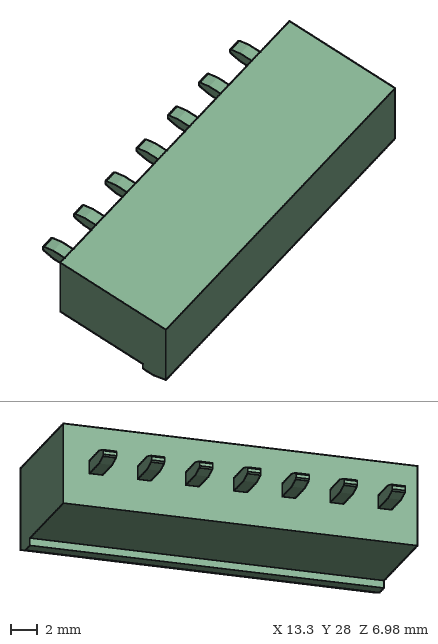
import cadquery as cq

housing_depth = 10.02
housing_width = 27.98
housing_height = 6.38

ledge_depth = 2.2
ledge_drop = 0.6
ledge_slope_run = 1.18
ledge_slope_rise = 0.42

pin_count = 7
pin_pitch = 3.8
pin_length = 3.25
pin_size = 1.04
pin_centre_z = 3.13
taper_length = 1.0
nose_length = 0.1
nose_base_height = 0.53
nose_tip_height = 0.28


def make_housing():
    """Solid block with the sloped ledge, extruded over the full width."""
    ledge_back = housing_depth - ledge_depth
    slope_start = housing_depth - ledge_slope_run
    slope_end_z = ledge_slope_rise - ledge_drop
    profile = [
        (0, 0),
        (ledge_back, 0),
        (ledge_back, -ledge_drop),
        (slope_start, -ledge_drop),
        (housing_depth, slope_end_z),
        (housing_depth, housing_height),
        (0, housing_height),
    ]
    return cq.Workplane("XZ").polyline(profile).close().extrude(housing_width / 2, both=True)


def make_pin(centre_y):
    """Square pin tapering in height, with a steeper bevelled nose."""
    stations = [
        (0, pin_size),
        (taper_length - pin_length, pin_size),
        (nose_length - pin_length, nose_base_height),
        (-pin_length, nose_tip_height),
    ]
    upper_edge = [(x, height / 2) for x, height in stations]
    lower_edge = [(x, -z) for x, z in reversed(upper_edge)]
    pin = cq.Workplane("XZ").polyline(upper_edge + lower_edge).close().extrude(pin_size / 2, both=True)
    return pin.translate((0, centre_y, pin_centre_z))


result = make_housing()
first_pin_y = -pin_pitch * (pin_count - 1) / 2
for index in range(pin_count):
    result = result.union(make_pin(first_pin_y + index * pin_pitch))